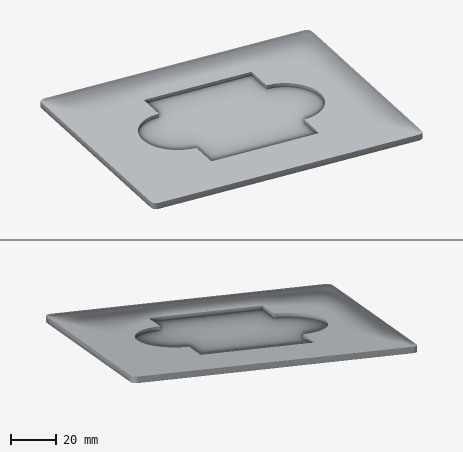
import cadquery as cq

plate_width = 107.0
plate_length = 135.5
plate_thickness = 3.0
corner_diameter = 5.3

recess_width = 62.9
recess_length = 53.9
recess_depth = 2.0
notch_diameter = 35.0


def make_plate():
    """Flat plate with rounded vertical corners, resting on Z = 0."""
    plate = cq.Workplane("XY").box(
        plate_width, plate_length, plate_thickness, centered=(True, True, False)
    )
    return plate.edges("|Z").fillet(corner_diameter / 2)


def make_recess():
    """Volume removed from the top face."""
    floor = cq.Workplane("XY").workplane(offset=plate_thickness - recess_depth)
    rectangle = floor.rect(recess_width, recess_length).extrude(recess_depth)
    notch_centers = [(0, -recess_length / 2), (0, recess_length / 2)]
    notches = floor.pushPoints(notch_centers).circle(notch_diameter / 2).extrude(recess_depth)
    return rectangle.union(notches)


result = make_plate().cut(make_recess())